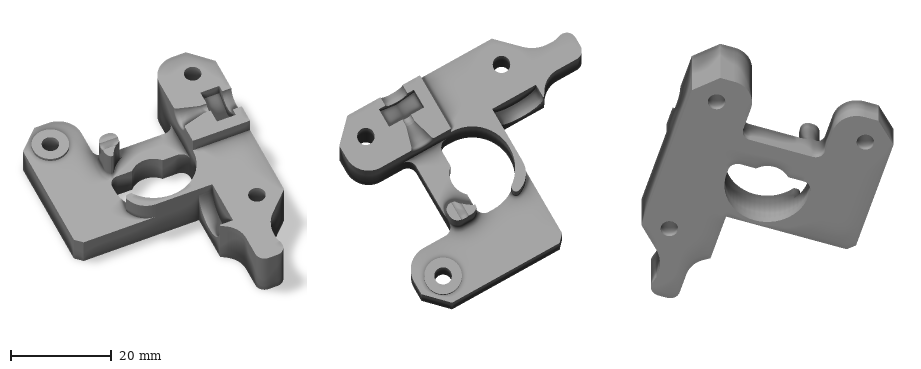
import cadquery as cq
import math

length = 52.0
depth = 42.0
plate_height = 6.0
mid_height = 10.0
full_height = 13.0

motor_x = 21.0
motor_y = depth / 2
motor_radius = 8.55
shaft_radius = 4.5
hole_offset = 15.5
hole_diameter = 3.5
spacer_diameter = 7.5
spacer_height = 0.6

corner_run = 4.4
corner_rise = 4.5
arm_round = 5.0
bar_left = 11.95
bar_width = 6.0
inner_round = 2.0
plate_right = 30.4
small_chamfer_run = 1.4
small_chamfer_rise = 1.5
lower_arm_y = motor_y - motor_radius
upper_arm_y = motor_y + motor_radius
bar_right = bar_left + bar_width

ledge_y = 26.6
ledge_right = 40.6
lever_bottom = 30.05
lever_neck_y = 35.5
lever_top = 36.0
knob_round = 2.0
knob_flare_x = 48.0
knob_flare_angle = math.radians(16)
lower_lever_round = 5.0
lower_lever_angle = math.radians(60)
lower_lever_x = 45.55
upper_lever_round = 7.0
upper_slope_x = 37.45
upper_slope_angle = math.radians(45)

pocket_radius = 5.0
pocket_depth = upper_arm_y - ledge_y
pocket_x = plate_right + pocket_radius
pocket_axis_z = 7.95

wall_round = 5.0
wall_center_y = 17.3
wall_sweep_angle = math.radians(74)
wall_tip_round = 0.8

path_x = 14.5
path_radius = 1.0
screw_diameter = 5.05
screw_length = 2.0
nut_across_flats = 8.0
nut_thickness = 4.1
funnel_length = 4.9
funnel_radius = 2.4
funnel_round = 0.5

pin_height = 6.55
pin_right = 17.6
pin_depth = 4.05
pin_front_round = 2.0
pin_back_round = 1.5
pin_flare = 1.0
pin_clearance_radius = 8.0


def box(x0, x1, y0, y1, z0, z1):
    return cq.Workplane("XY").box(x1 - x0, y1 - y0, z1 - z0, centered=False).translate((x0, y0, z0))


def cylinder(x, y, radius, z0, z1):
    return cq.Workplane("XY", origin=(x, y, z0)).circle(radius).extrude(z1 - z0)


def along_y(y):
    """Workplane on the filament axis at the given Y, extruding toward -Y."""
    return cq.Workplane("XZ", origin=(path_x, y, full_height))


def make_outline():
    """Outer outline of the plate, arms and lever, extruded to full height."""
    arc_start_y = lever_neck_y + upper_lever_round * (1 - math.cos(upper_slope_angle))
    arc_start_x = upper_slope_x + (depth - arc_start_y) / math.tan(upper_slope_angle)
    arc_end_x = arc_start_x + upper_lever_round * math.sin(upper_slope_angle)
    knob_x = length - knob_round
    flare_x = knob_x - knob_round * math.sin(knob_flare_angle)
    flare_y = lever_top - knob_round * (1 - math.cos(knob_flare_angle))
    lower_arc_x = lower_lever_x - lower_lever_round * math.sin(lower_lever_angle)
    lower_arc_y = lever_bottom - lower_lever_round * (1 - math.cos(lower_lever_angle))
    return (
        cq.Workplane("XY")
        .moveTo(corner_run, depth)
        .lineTo(upper_slope_x, depth)
        .lineTo(arc_start_x, arc_start_y)
        .tangentArcPoint((arc_end_x, lever_neck_y), relative=False)
        .lineTo(knob_flare_x, lever_neck_y)
        .lineTo(flare_x, flare_y)
        .tangentArcPoint((length, lever_top - knob_round), relative=False)
        .lineTo(length, lever_bottom + knob_round)
        .tangentArcPoint((knob_x, lever_bottom), relative=False)
        .lineTo(lower_lever_x, lever_bottom)
        .tangentArcPoint((lower_arc_x, lower_arc_y), relative=False)
        .lineTo(ledge_right, ledge_y)
        .lineTo(plate_right, ledge_y)
        .lineTo(plate_right, small_chamfer_rise)
        .lineTo(plate_right - small_chamfer_run, 0)
        .lineTo(corner_run, 0)
        .lineTo(0, corner_rise)
        .lineTo(0, lower_arm_y - arm_round)
        .tangentArcPoint((arm_round, lower_arm_y), relative=False)
        .lineTo(bar_left - inner_round, lower_arm_y)
        .tangentArcPoint((bar_left, lower_arm_y + inner_round), relative=False)
        .lineTo(bar_left, upper_arm_y - inner_round)
        .tangentArcPoint((bar_left - inner_round, upper_arm_y), relative=False)
        .lineTo(arm_round, upper_arm_y)
        .tangentArcPoint((0, upper_arm_y + arm_round), relative=False)
        .lineTo(0, depth - corner_rise)
        .close()
        .extrude(full_height)
    )


def make_opening():
    """Motor opening: a half circle, a rounded left end and a shaft relief."""
    body = (
        cq.Workplane("XY")
        .moveTo(motor_x, lower_arm_y)
        .threePointArc((motor_x + motor_radius, motor_y), (motor_x, upper_arm_y))
        .lineTo(bar_right + inner_round, upper_arm_y)
        .tangentArcPoint((bar_right, upper_arm_y - inner_round), relative=False)
        .lineTo(bar_right, lower_arm_y + inner_round)
        .tangentArcPoint((bar_right + inner_round, lower_arm_y), relative=False)
        .close()
        .extrude(full_height)
    )
    return body.union(cylinder(motor_x, motor_y, shaft_radius, 0, full_height))


def make_wall():
    """Wall that curves in from the right side and ends in a rounded tip."""
    center_x = plate_right - wall_round
    cosine = math.cos(wall_sweep_angle)
    sine = math.sin(wall_sweep_angle)
    tip_center_x = center_x + (wall_round - wall_tip_round) * cosine
    tip_center_y = wall_center_y - (wall_round - wall_tip_round) * sine
    tip_x = tip_center_x - wall_tip_round
    return (
        cq.Workplane("XY")
        .moveTo(tip_x, motor_y)
        .lineTo(plate_right, motor_y)
        .lineTo(plate_right, wall_center_y)
        .tangentArcPoint(
            (center_x + wall_round * cosine, wall_center_y - wall_round * sine), relative=False
        )
        .tangentArcPoint((tip_x, tip_center_y), relative=False)
        .close()
        .extrude(mid_height)
    )


def make_pin():
    """Guide pin with a flared foot, cleared on the motor side."""
    pin_back_y = lower_arm_y + pin_depth
    front_center_x = bar_right - pin_front_round
    front_center_y = lower_arm_y + pin_front_round
    trim_angle = math.acos((pin_right - front_center_x) / pin_front_round)
    trim_y = front_center_y - pin_front_round * math.sin(trim_angle)
    margin = 2 * pin_flare
    foot = box(
        bar_left - margin, bar_right + margin,
        lower_arm_y - margin, pin_back_y + margin,
        0, plate_height,
    )
    pin = (
        cq.Workplane("XY", origin=(0, 0, plate_height))
        .moveTo(bar_left + pin_front_round, lower_arm_y)
        .lineTo(front_center_x, lower_arm_y)
        .tangentArcPoint((bar_right, front_center_y), relative=False)
        .lineTo(bar_right, pin_back_y)
        .lineTo(bar_left + pin_back_round, pin_back_y)
        .tangentArcPoint((bar_left, pin_back_y - pin_back_round), relative=False)
        .lineTo(bar_left, front_center_y)
        .tangentArcPoint((bar_left + pin_front_round, lower_arm_y), relative=False)
        .close()
        .extrude(pin_height)
    )
    edge_zone = cq.selectors.BoxSelector(
        (bar_left - pin_flare, lower_arm_y - pin_flare, plate_height - pin_flare),
        (bar_right + pin_flare, pin_back_y + pin_flare, plate_height + pin_flare),
    )
    flared = foot.union(pin).edges(edge_zone).fillet(pin_flare)
    trimmed = flared.cut(
        box(pin_right, bar_right + margin, trim_y, pin_back_y + margin, plate_height, full_height)
    )
    flat_flare = (
        cq.Workplane("XZ", origin=(pin_right, trim_y, plate_height))
        .lineTo(pin_flare, 0)
        .threePointArc(
            (pin_flare * (1 - math.sin(math.pi / 4)), pin_flare * (1 - math.cos(math.pi / 4))),
            (0, pin_flare),
        )
        .close()
        .extrude(trim_y - pin_back_y)
    )
    clearance = cylinder(motor_x, motor_y, pin_clearance_radius, plate_height, full_height)
    return trimmed.union(flat_flare).cut(clearance)


def make_filament_cuts():
    """Path through the upper arm and pin, screw hole, nut trap and funnel."""
    nut_y = depth - screw_length
    path = along_y(nut_y).circle(path_radius).extrude(nut_y)
    screw = along_y(depth).circle(screw_diameter / 2).extrude(screw_length)
    nut_corners = nut_across_flats / math.cos(math.pi / 6)
    nut = (
        along_y(nut_y)
        .transformed(rotate=(0, 0, 90))
        .polygon(6, nut_corners)
        .extrude(nut_thickness)
    )
    slope = math.atan((funnel_radius - path_radius) / funnel_length)
    setback = funnel_round * math.tan((math.pi / 2 - slope) / 2)
    rim_radius = funnel_radius + setback
    half_turn = math.pi / 4 - slope / 2
    round_middle = (
        rim_radius - funnel_round * math.sin(half_turn),
        funnel_round * (1 - math.cos(half_turn)),
    )
    funnel = (
        cq.Workplane("XY")
        .moveTo(0, 0)
        .lineTo(rim_radius, 0)
        .threePointArc(
            round_middle,
            (funnel_radius - setback * math.sin(slope), setback * math.cos(slope)),
        )
        .lineTo(path_radius, funnel_length)
        .lineTo(0, funnel_length)
        .close()
        .revolve(360, (0, 0, 0), (0, 1, 0))
        .translate((path_x, upper_arm_y, full_height))
    )
    return path.union(screw).union(nut).union(funnel)


def make_pocket():
    """Ledge pocket with a half-round bottom and straight sides above."""
    round_bottom = (
        cq.Workplane("XZ", origin=(pocket_x, upper_arm_y, pocket_axis_z))
        .circle(pocket_radius)
        .extrude(pocket_depth)
    )
    open_top = box(
        plate_right, plate_right + 2 * pocket_radius,
        ledge_y, upper_arm_y,
        pocket_axis_z, full_height,
    )
    return round_bottom.union(open_top)


def make_levels():
    """Plate, raised right half, curved wall and tall upper left arm."""
    plate = box(0, length, 0, depth, 0, plate_height)
    raised_half = box(motor_x, length, motor_y, depth, 0, mid_height)
    tall_arm = box(0, motor_x, upper_arm_y, depth, 0, full_height)
    return plate.union(raised_half).union(make_wall()).union(tall_arm)


opening = make_opening()
result = make_levels().cut(opening).union(make_pin().cut(opening)).intersect(make_outline())

left_x = motor_x - hole_offset
right_x = motor_x + hole_offset
low_y = motor_y - hole_offset
high_y = motor_y + hole_offset
spacer_top = plate_height + spacer_height
result = result.union(cylinder(left_x, low_y, spacer_diameter / 2, plate_height, spacer_top))

for x, y in ((left_x, low_y), (left_x, high_y), (right_x, high_y)):
    result = result.cut(cylinder(x, y, hole_diameter / 2, 0, full_height))

result = result.cut(make_pocket()).cut(make_filament_cuts())